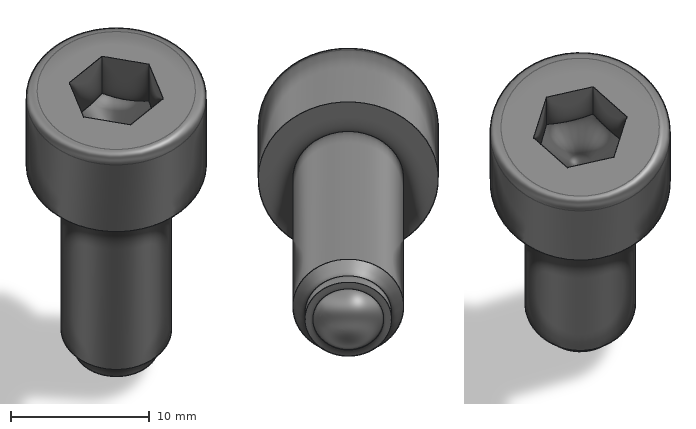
import cadquery as cq
import math

total_length = 29.2
head_diameter = 13.0
head_height = 8.0
head_fillet = 0.8
shank_diameter = 8.0
tip_chamfer = 0.88
collar_height = 0.88
ball_diameter = 5.5
ball_protrusion = 1.75
hex_across_flats = 6.02
hex_depth = 4.0
drill_point_angle = 120.0

collar_diameter = shank_diameter - 2 * tip_chamfer
screw_length = total_length - ball_protrusion
chamfered_shank_end = screw_length - collar_height
ball_center_z = -total_length + ball_diameter / 2
hex_across_corners = hex_across_flats / math.cos(math.radians(30))
cone_radius = hex_across_corners / 2
cone_depth = cone_radius / math.tan(math.radians(drill_point_angle / 2))


def make_ball():
    """Full ball, seated so that only its lower cap stands out of the tip."""
    return cq.Workplane("XY").sphere(ball_diameter / 2).translate((0, 0, ball_center_z))


def make_hex_socket():
    """Hexagonal key socket whose bottom ends in a drill-point cone."""
    prism = cq.Workplane("XY").polygon(6, hex_across_corners).extrude(-(hex_depth + cone_depth))
    drill = (
        cq.Workplane("XZ")
        .polyline([
            (0, 0),
            (cone_radius, 0),
            (cone_radius, -hex_depth),
            (0, -hex_depth - cone_depth),
        ])
        .close()
        .revolve(360, (0, 0), (0, 1))
    )
    return prism.intersect(drill)


def make_screw():
    """Cap screw with a chamfered shank, a short end collar and a ball seat."""
    head = cq.Workplane("XY").circle(head_diameter / 2).extrude(-head_height)
    head = head.faces(">Z").edges().fillet(head_fillet)
    shank = cq.Workplane("XY").workplane(offset=-head_height).circle(shank_diameter / 2)
    shank = shank.extrude(head_height - chamfered_shank_end)
    shank = shank.faces("<Z").edges().chamfer(tip_chamfer)
    collar = cq.Workplane("XY").workplane(offset=-chamfered_shank_end).circle(collar_diameter / 2)
    collar = collar.extrude(-collar_height)
    return head.union(shank).union(collar).cut(make_hex_socket()).cut(make_ball())


screw = make_screw().solids()
ball = make_ball().solids()
result = cq.Compound.makeCompound([screw.val(), ball.val()])